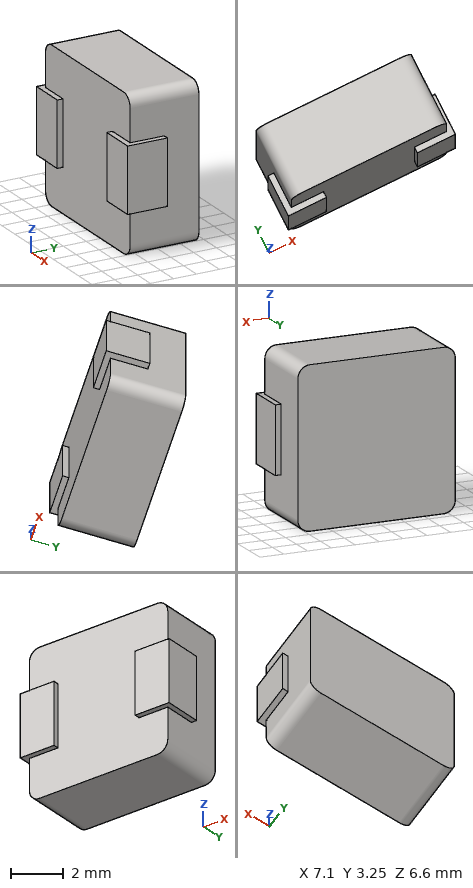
import cadquery as cq

overall_width = 7.1
overall_depth = 3.25
body_side = 6.6
corner_radius = 0.5

terminal_thickness = (overall_width - body_side) / 2
terminal_height = 2.8
foot_length = 1.62
side_length = 1.74

body_depth = overall_depth - terminal_thickness


def make_body():
    """Square block with rounded edges along Y; its front face lies at Y = 0."""
    block = cq.Workplane("XY").box(body_side, body_depth, body_side, centered=(True, False, True))
    return block.edges("|Y").fillet(corner_radius)


def make_terminal(side):
    """L-shaped strip on the left (side = -1) or right (side = 1) of the body."""
    outer_x = side * overall_width / 2
    inner_x = side * body_side / 2
    foot_end_x = outer_x - side * foot_length
    front_y = -terminal_thickness
    back_y = front_y + side_length
    outline = [
        (outer_x, front_y),
        (outer_x, back_y),
        (inner_x, back_y),
        (inner_x, 0),
        (foot_end_x, 0),
        (foot_end_x, front_y),
    ]
    return cq.Workplane("XY").polyline(outline).close().extrude(terminal_height / 2, both=True)


result = make_body()
for side in (-1, 1):
    result = result.union(make_terminal(side))